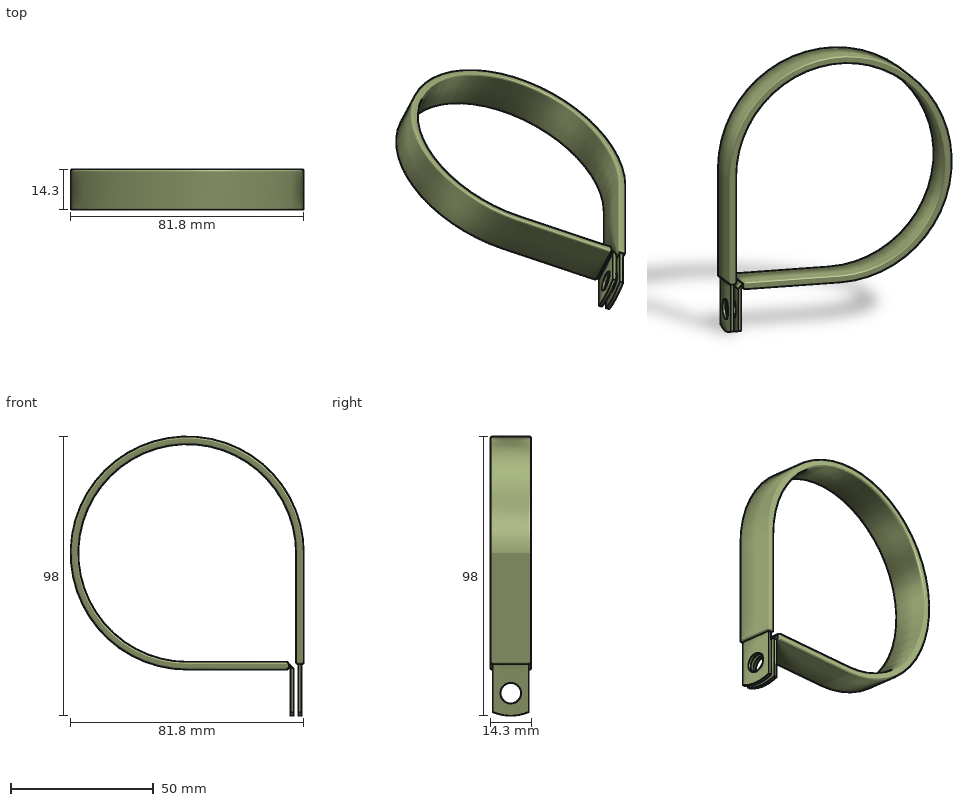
import cadquery as cq


LOOP_INNER_RADIUS = 38.1
RUBBER_THICKNESS = 0.794
STRAP_THICKNESS = 1.219
STRAP_WIDTH = 12.7
CUSHION_EDGE_RADIUS = 0.75
TAB_TIP_Z = -57.07
TAB_TIP_RADIUS = 15.9
HOLE_DIAMETER = 7.14
HOLE_TO_TIP = 7.95
UPRIGHT_CUSHION_END_Z = -38.9
LOWER_CUSHION_END_X = 35.5
BEND_INNER_SETBACK = 0.5
TAB_GAP = 1.5

CUSHION_WIDTH = STRAP_WIDTH + 2 * RUBBER_THICKNESS
STRAP_INNER_RADIUS = LOOP_INNER_RADIUS + RUBBER_THICKNESS
STRAP_OUTER_RADIUS = STRAP_INNER_RADIUS + STRAP_THICKNESS
LOOP_OUTER_RADIUS = STRAP_OUTER_RADIUS + RUBBER_THICKNESS
BEND_OUTER_SETBACK = BEND_INNER_SETBACK + STRAP_THICKNESS
BENT_TAB_OUTER_X = STRAP_INNER_RADIUS - TAB_GAP
BENT_TAB_INNER_X = BENT_TAB_OUTER_X - STRAP_THICKNESS
BEND_START_X = BENT_TAB_OUTER_X - BEND_OUTER_SETBACK
BEND_END_Z = -STRAP_INNER_RADIUS - BEND_OUTER_SETBACK
HOLE_Z = TAB_TIP_Z + HOLE_TO_TIP


def extrude_across(profile, width):
    """Extrude a closed XZ profile symmetrically about the Y = 0 plane."""
    return profile.extrude(width / 2, both=True)


def make_cushion():
    """Three-quarter rubber loop with an upright and a lower straight end, rounded all over."""
    diagonal = 0.5 ** 0.5
    profile = (
        cq.Workplane("XZ")
        .moveTo(LOOP_OUTER_RADIUS, UPRIGHT_CUSHION_END_Z)
        .lineTo(LOOP_OUTER_RADIUS, 0)
        .threePointArc(
            (-LOOP_OUTER_RADIUS * diagonal, LOOP_OUTER_RADIUS * diagonal),
            (0, -LOOP_OUTER_RADIUS),
        )
        .lineTo(LOWER_CUSHION_END_X, -LOOP_OUTER_RADIUS)
        .lineTo(LOWER_CUSHION_END_X, -LOOP_INNER_RADIUS)
        .lineTo(0, -LOOP_INNER_RADIUS)
        .threePointArc(
            (-LOOP_INNER_RADIUS * diagonal, LOOP_INNER_RADIUS * diagonal),
            (LOOP_INNER_RADIUS, 0),
        )
        .lineTo(LOOP_INNER_RADIUS, UPRIGHT_CUSHION_END_Z)
        .close()
    )
    cushion = extrude_across(profile, CUSHION_WIDTH)
    side_edges = cushion.faces("<Y or >Y").edges()
    end_edges = cushion.edges("|Y").edges(
        cq.selectors.BoxSelector(
            (LOWER_CUSHION_END_X / 2, -CUSHION_WIDTH, -2 * LOOP_OUTER_RADIUS),
            (2 * LOOP_OUTER_RADIUS, CUSHION_WIDTH, UPRIGHT_CUSHION_END_Z / 2),
        )
    )
    return side_edges.add(end_edges).fillet(CUSHION_EDGE_RADIUS)


def make_straight_tab():
    """Bare strap running straight down out of the upright cushion end."""
    profile = (
        cq.Workplane("XZ")
        .moveTo(STRAP_INNER_RADIUS, TAB_TIP_Z)
        .lineTo(STRAP_OUTER_RADIUS, TAB_TIP_Z)
        .lineTo(STRAP_OUTER_RADIUS, UPRIGHT_CUSHION_END_Z)
        .lineTo(STRAP_INNER_RADIUS, UPRIGHT_CUSHION_END_Z)
        .close()
    )
    return extrude_across(profile, STRAP_WIDTH)


def make_bent_tab():
    """Bare strap leaving the lower cushion end, folded down by a 45 degree facet."""
    profile = (
        cq.Workplane("XZ")
        .moveTo(LOWER_CUSHION_END_X, -STRAP_INNER_RADIUS)
        .lineTo(BEND_START_X, -STRAP_INNER_RADIUS)
        .lineTo(BENT_TAB_OUTER_X, BEND_END_Z)
        .lineTo(BENT_TAB_OUTER_X, TAB_TIP_Z)
        .lineTo(BENT_TAB_INNER_X, TAB_TIP_Z)
        .lineTo(BENT_TAB_INNER_X, BEND_END_Z)
        .lineTo(BEND_START_X, -STRAP_OUTER_RADIUS)
        .lineTo(LOWER_CUSHION_END_X, -STRAP_OUTER_RADIUS)
        .close()
    )
    return extrude_across(profile, STRAP_WIDTH)


def make_tab_envelope():
    """Tab outline along X: straight sides, arched tip and a bolt hole."""
    tip_centre_z = TAB_TIP_Z + TAB_TIP_RADIUS
    half_width = STRAP_WIDTH / 2
    corner_z = tip_centre_z - (TAB_TIP_RADIUS ** 2 - half_width ** 2) ** 0.5
    return (
        cq.Workplane("YZ")
        .moveTo(-half_width, 0)
        .lineTo(-half_width, corner_z)
        .threePointArc((0, TAB_TIP_Z), (half_width, corner_z))
        .lineTo(half_width, 0)
        .close()
        .moveTo(0, HOLE_Z)
        .circle(HOLE_DIAMETER / 2)
        .extrude(LOOP_OUTER_RADIUS)
    )


tab_envelope = make_tab_envelope()
straight_tab = make_straight_tab().intersect(tab_envelope)
bent_tab = make_bent_tab().intersect(tab_envelope)
result = make_cushion().union(straight_tab).union(bent_tab)